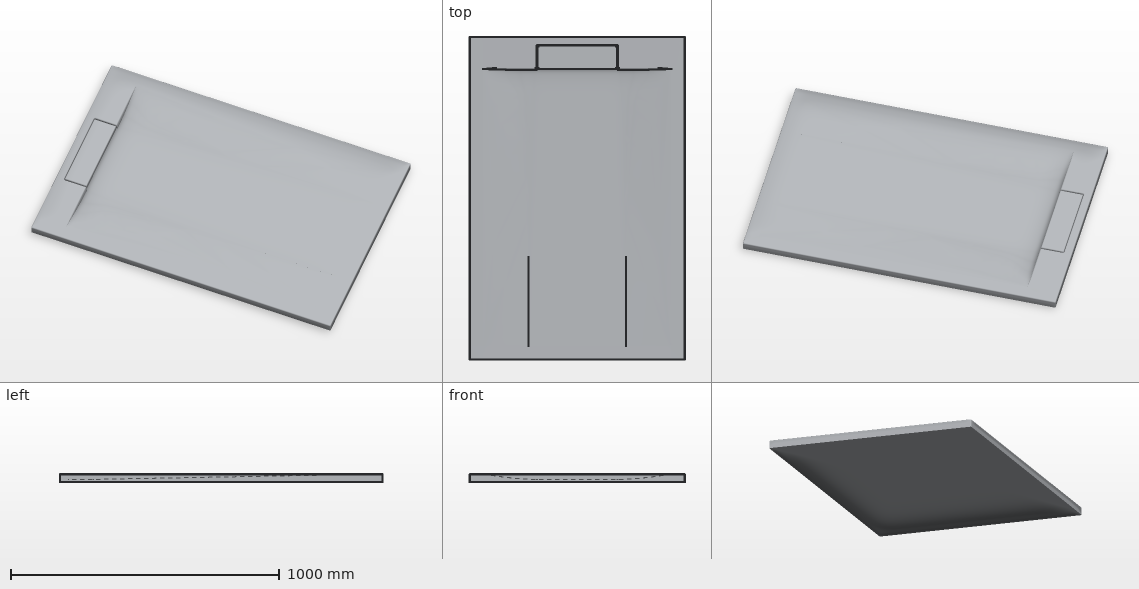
import cadquery as cq
import math


length = 1200.0
width = length * 2 / 3
height = 30.0
corner_radius = 3.0

edge_radius = 4.0

rim_width = 50.0
shelf_depth = 120.0
rim_dip = 0.5

drain_depth = 19.0
wall_draft = 4.2
lip_taper_length = 48.0
front_half_floor = 181.0
rear_half_floor = 155.0
rear_half_blend = 262.0

recess_corner_radius = 5.0
recess_half_width = 151.0
recess_rear_margin = 31.0
cover_side_gap = 4.0
cover_rear_gap = 1.0

outer_x = width / 2 - edge_radius
outer_y = length / 2 - edge_radius
inner_x = width / 2 - rim_width
front_y = -length / 2 + rim_width
rear_y = length / 2 - shelf_depth
foot_y = rear_y - wall_draft
rim_z = height - rim_dip
drain_z = rim_z - drain_depth
recess_rear_y = length / 2 - recess_rear_margin
wall_lean = wall_draft / drain_depth * (rear_y - front_y) / (foot_y - front_y)

floor_stations = [
    (front_y, front_half_floor, front_half_floor),
    (-216.0, 178.0, 185.0),
    (96.0, 173.0, 193.0),
    (192.0, 170.0, 198.0),
    (294.0, 168.0, 206.0),
    (380.0, 163.0, 220.0),
    (426.0, 161.0, 245.0),
    (450.0, 158.0, 259.0),
    (foot_y, rear_half_floor, rear_half_blend),
]


def floor_z(y):
    """Height of the flat floor, which falls evenly from the front rim to the drain."""
    return rim_z - drain_depth * (y - front_y) / (rear_y - front_y)


def line(start, end):
    return cq.Edge.makeLine(cq.Vector(*start), cq.Vector(*end))


def curve(points):
    return cq.Edge.makeSpline([cq.Vector(*point) for point in points])


def planar_face(edges):
    return cq.Face.makeFromWires(cq.Wire.assembleEdges(edges))


def polygon_face(points):
    return cq.Face.makeFromWires(cq.Wire.makePolygon([cq.Vector(*p) for p in points], close=True))


def blend_curve(side, share):
    """Curve along the floor blend; share runs from 0 at the flat floor to 1 at the side slope.

    The blend is a parabola across the floor that is tangent to the flat floor and to the side slope.
    """
    points = []
    for y, flat, slope_start in floor_stations:
        blend_width = slope_start - flat
        slope_width = inner_x - slope_start
        rise = (rim_z - floor_z(y)) * blend_width / (blend_width + 2 * slope_width)
        z = floor_z(y) + rise * share**2
        if y == foot_y:
            y = rear_y - wall_lean * (rim_z - z)
        points.append((side * (flat + share * blend_width), y, z))
    return curve(points)


def rim_faces():
    """Cap level with the tray top, and the eight dipping strips and corner patches below it."""
    xs = [-outer_x, -inner_x, inner_x, outer_x]
    ys = [-outer_y, front_y, rear_y, outer_y]

    def node(i, j):
        on_outer_edge = i in (0, 3) or j in (0, 3)
        return (xs[i], ys[j], height if on_outer_edge else rim_z)

    outline = [(0, 0), (1, 0), (2, 0), (3, 0), (3, 1), (3, 2), (3, 3), (2, 3), (1, 3), (0, 3), (0, 2), (0, 1)]
    faces = [polygon_face([node(i, j) for i, j in outline])]
    for i in range(3):
        for j in range(3):
            if (i, j) != (1, 1):
                near = line(node(i, j), node(i + 1, j))
                far = line(node(i, j + 1), node(i + 1, j + 1))
                faces.append(cq.Face.makeRuledSurface(near, far))
    return faces


def basin_side_faces(side):
    """Floor blend, side slope and leaning rear wall on one side of the basin."""
    flat_edge = blend_curve(side, 0)
    slope_edge = blend_curve(side, 1)
    blend = cq.occ_impl.shapes.loft(flat_edge, blend_curve(side, 0.5), slope_edge)
    rim_front = (side * inner_x, front_y, rim_z)
    rim_rear = (side * inner_x, rear_y, rim_z)
    slope = cq.Face.makeRuledSurface(slope_edge, line(rim_front, rim_rear))

    blend_rear_edge = blend.edges(">Y")
    foot = flat_edge.endPoint().toTuple()
    slope_foot = slope_edge.endPoint().toTuple()
    mouth_top = (side * recess_half_width, rear_y, rim_z)
    mouth_foot = (side * recess_half_width, foot_y, foot[2])
    mouth_bottom = (side * recess_half_width, rear_y, drain_z)
    wall = planar_face([
        blend_rear_edge,
        line(slope_foot, rim_rear),
        line(rim_rear, mouth_top),
        line(mouth_top, mouth_foot),
        line(mouth_foot, foot),
    ])
    cheek = polygon_face([mouth_foot, mouth_bottom, mouth_top])
    return [*blend.Faces(), slope, wall, cheek]


def basin_middle_faces():
    """Flat floor between the blends, and the upright plane across the mouth of the drain recess."""
    left = blend_curve(-1, 0)
    right = blend_curve(1, 0)
    mouth_left = (-recess_half_width, rear_y, drain_z)
    mouth_right = (recess_half_width, rear_y, drain_z)
    foot_left = (-recess_half_width, foot_y, floor_z(foot_y))
    foot_right = (recess_half_width, foot_y, floor_z(foot_y))
    floor = planar_face([
        left,
        line(left.startPoint().toTuple(), right.startPoint().toTuple()),
        right,
        line(right.endPoint().toTuple(), foot_right),
        line(foot_right, mouth_right),
        line(mouth_right, mouth_left),
        line(mouth_left, foot_left),
        line(foot_left, left.endPoint().toTuple()),
    ])
    mouth = polygon_face([
        mouth_left,
        mouth_right,
        (recess_half_width, rear_y, rim_z),
        (-recess_half_width, rear_y, rim_z),
    ])
    return [floor, mouth]


def make_basin_cutter():
    faces = rim_faces() + basin_side_faces(-1) + basin_middle_faces() + basin_side_faces(1)
    return cq.Solid.makeSolid(cq.Shell.makeShell(faces))


def make_lip_cutter():
    """Material removed to round the shelf edge, tapering to nothing where the basin meets the side rims."""
    start_y = rear_y - wall_lean * edge_radius
    end_y = rear_y + edge_radius
    end_z = rim_z + rim_dip * edge_radius / (outer_y - rear_y)
    mid_y = rear_y + edge_radius * (1 - math.sqrt(0.5))
    mid_z = rim_z - edge_radius * (1 - math.sqrt(0.5))
    half_span = inner_x - lip_taper_length
    profile = (
        cq.Workplane("YZ", origin=(-half_span, 0, 0))
        .moveTo(start_y, rim_z - edge_radius)
        .threePointArc((mid_y, mid_z), (end_y, end_z))
        .lineTo(end_y, height)
        .lineTo(start_y, height)
        .close()
    )
    middle = profile.extrude(2 * half_span)
    tapers = []
    for side in (-1, 1):
        apex = cq.Vertex.makeVertex(side * inner_x, rear_y, rim_z)
        section = middle.faces("<X" if side < 0 else ">X").val()
        tapers.append(cq.occ_impl.shapes.loft(section, apex))
    return middle.union(tapers[0]).union(tapers[1])


def make_recess_cutter():
    """Pocket in the shelf for the cover, open to the basin and level with the drain end of the floor."""
    return (
        cq.Workplane("XY", origin=(0, 0, drain_z))
        .rect(2 * recess_half_width, 2 * (recess_rear_y - rear_y))
        .extrude(height - drain_z)
        .edges("|Z")
        .fillet(recess_corner_radius)
        .translate((0, rear_y, 0))
        .intersect(cq.Workplane("XY").box(width, length, 2 * height).translate((0, rear_y + length / 2, 0)))
    )


def make_tray():
    block = (
        cq.Workplane("XY")
        .box(width, length, height, centered=(True, True, False))
        .edges("|Z")
        .fillet(corner_radius)
        .faces(">Z")
        .edges()
        .fillet(edge_radius)
    )
    hollow = block.cut(cq.Workplane(make_basin_cutter())).cut(make_recess_cutter())
    recess_rim = cq.selectors.BoxSelector(
        (-recess_half_width - edge_radius, rear_y + edge_radius, rim_z - edge_radius),
        (recess_half_width + edge_radius, recess_rear_y + edge_radius, height),
    )
    return hollow.edges(recess_rim).fillet(edge_radius).cut(make_lip_cutter())


def make_cover():
    """Drain cover resting on the recess floor, flush with the shelf edge and the basin wall."""
    cover_width = 2 * (recess_half_width - cover_side_gap)
    cover_depth = recess_rear_y - cover_rear_gap - rear_y
    return (
        cq.Workplane("XY", origin=(0, rear_y + cover_depth / 2, drain_z))
        .box(cover_width, cover_depth, drain_depth, centered=(True, True, False))
        .faces(">Z")
        .edges()
        .fillet(edge_radius)
    )


tray = make_tray()
cover = make_cover()
result = cq.Compound.makeCompound([tray.solids().val(), cover.solids().val()])